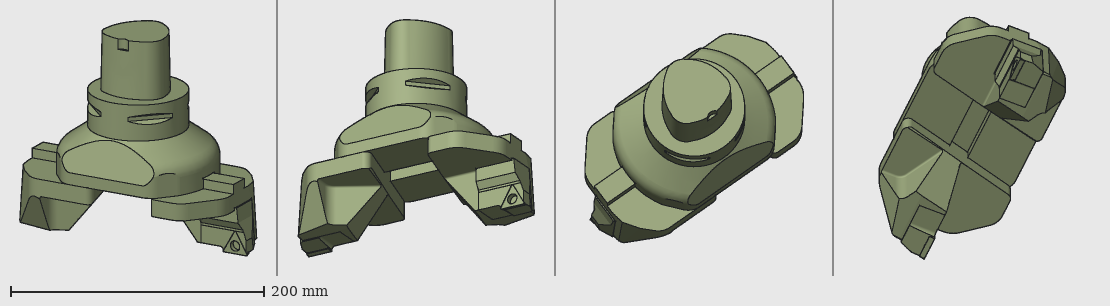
import cadquery as cq
import math


LARGE = 240.0
HALF_LENGTH = 100.0
HALF_WIDTH = 52.0

body_radius = 64.5
body_wall_height = 15.0
flange_radius = 40.0
flange_base = 40.0
flange_height = 30.0
flange_top = flange_base + flange_height
cone_angle = 35.0
shoulder_radius = 14.2
corner_flat_distance = 63.8
corner_flat_angle = 40.0
corner_flat_rounding = 15.0
side_flat_height = 10.0
side_flat_lean = 20.0

groove_count = 4
first_groove_angle = 45.0
groove_height = 57.8
groove_floor_distance = 35.5
groove_floor_width = 3.4
groove_side_angle = 30.0

shank_height = 48.0
shank_top = flange_top + shank_height
shank_top_lobe = 28.5
shank_top_joint = 26.5
shank_top_side = 24.4
shank_base_growth = 1.0
lobe_half_angle = 20.2
lobe_spacing = 120.0
lobe_angles = [90.0 + index * lobe_spacing for index in range(3)]
notch_radius = 6.0
notch_axis_distance = 28.0
notch_depth = 8.5

slot_width = 17.4
slot_height = 9.0
tongue_height = 8.0

plate_thickness = 14.2
plate_end = -91.2
front_corner_x = -67.8
back_corner_x = -66.5
back_corner_end_y = 22.0
inner_front_x = -12.4
inner_back_x = -40.2
plate_corner_rounding = 16.0
outer_corner_rounding = 19.0
inner_corner_rounding = 5.2

arm_bottom = -48.0
arm_face_y = 2.0
arm_inner_x = -16.0
step_x = -59.8
pocket_corner_y = -34.4
pocket_end_y = -11.0
pocket_rounding = 9.0
arm_root_rounding = 1.5

inner_slope = ((-27.0, arm_face_y, -plate_thickness), 13.6, -38.7)
skin_beside_cartridge = ((plate_end, -15.0, 0), 188.7, 3.9)
skin_beside_corner = ((-89.5, -26.2, 0), 214.4, 3.1)
corner_relief = ((step_x, -HALF_WIDTH, -16.4), 257.5, -26.0)
skin_foot_bevel = ((-93.4, -22.0, -46.5), 188.7, -45.0)
arm_clearance = ((0, -22.0, arm_bottom), 270.0, -85.7)

cartridge_inner_x = -58.0
cartridge_back_y = -20.0
cartridge_face_y = 5.8
skin_corner_x = front_corner_x - (HALF_WIDTH + cartridge_back_y)
cartridge_top = -12.2
recess_face_y = 6.5
rake_face_y = 2.0
ledge_face_y = 2.2
slope_top = -24.8
slope_bottom = -31.0
ledge_bottom = -33.0
cartridge_top_x = -92.4
shoulder_x = -93.8
nose_x = -99.0
nose_top = -39.5
nose_start_x = -75.4
nose_blend_radius = 2.8
nose_bottom = arm_bottom - nose_blend_radius
cartridge_skin = ((cartridge_top_x, -18.5, cartridge_top), 203.0, 3.6)
nose_clearance = ((0, rake_face_y, nose_bottom), 270.0, -85.2)

inscribed_radius = 6.5
insert_corner_radius = 0.8
insert_thickness = 4.4
insert_face_y = 2.4
insert_hole_diameter = 8.4
insert_relief = 11.0
insert_bottom = -52.0
core_radius = inscribed_radius - insert_corner_radius
core_half_side = math.sqrt(3) * core_radius
insert_center = (
    core_half_side + insert_corner_radius - HALF_LENGTH,
    insert_face_y,
    insert_bottom + inscribed_radius,
)


def outward(azimuth, tilt):
    """Unit vector at an azimuth around Z, raised by the tilt; both in degrees."""
    turn = math.radians(azimuth)
    rise = math.radians(tilt)
    return cq.Vector(math.cos(turn) * math.cos(rise), math.sin(turn) * math.cos(rise), math.sin(rise))


def beyond_plane(point, azimuth, tilt):
    """Block that fills everything on the outer side of a plane."""
    plane = cq.Plane(origin=point, normal=outward(azimuth, tilt))
    return cq.Workplane(plane).rect(LARGE, LARGE).extrude(LARGE)


def round_upright_edge(solid, x, y, z, radius):
    """Round the vertical edge nearest to a point."""
    return solid.edges("|Z").edges(cq.NearestToPointSelector((x, y, z))).fillet(radius)


def polar(radius, angle):
    """Plane point at a radius and an angle in degrees."""
    return (radius * math.cos(math.radians(angle)), radius * math.sin(math.radians(angle)))


def shank_section(workplane, growth):
    """Three lobe arcs joined by three flatter side arcs."""
    lobe = shank_top_lobe + growth
    joint = shank_top_joint + growth
    side = shank_top_side + growth
    section = workplane.moveTo(*polar(joint, lobe_angles[0] - lobe_half_angle))
    for angle in lobe_angles:
        next_joint = angle + lobe_spacing - lobe_half_angle
        section = section.threePointArc(polar(lobe, angle), polar(joint, angle + lobe_half_angle))
        section = section.threePointArc(polar(side, angle + lobe_spacing / 2), polar(joint, next_joint))
    return section.close()


def make_shank():
    base = shank_section(cq.Workplane("XY").workplane(offset=flange_top), shank_base_growth)
    shank = shank_section(base.workplane(offset=shank_height), 0.0).loft(ruled=True)
    notch = (
        cq.Workplane("XY")
        .workplane(offset=shank_top - notch_depth)
        .center(0, -notch_axis_distance)
        .circle(notch_radius)
        .extrude(notch_depth)
    )
    return shank.cut(notch)


def make_turned_body():
    """Wall, rounded shoulder and cone, turned about Z."""
    turn = math.radians(90 - cone_angle)
    cone_end_radius = body_radius - shoulder_radius * (1 - math.cos(turn))
    cone_end_height = body_wall_height + shoulder_radius * math.sin(turn)
    arc_middle = (
        body_radius - shoulder_radius * (1 - math.cos(turn / 2)),
        body_wall_height + shoulder_radius * math.sin(turn / 2),
    )
    return (
        cq.Workplane("XZ")
        .lineTo(body_radius, 0)
        .lineTo(body_radius, body_wall_height)
        .threePointArc(arc_middle, (cone_end_radius, cone_end_height))
        .lineTo(flange_radius, flange_base)
        .lineTo(0, flange_base)
        .close()
        .revolve(360, (0, 0, 0), (0, 1, 0))
    )


def make_body_outline():
    """Prism of the round wall, the side flats and the corner flats, with rounded edges."""
    turn = math.radians(corner_flat_angle)
    corner_x = (corner_flat_distance - HALF_WIDTH * math.sin(turn)) / math.cos(turn)
    apex_x = corner_flat_distance / math.cos(turn)
    corners = [
        (corner_x, HALF_WIDTH),
        (apex_x, 0),
        (corner_x, -HALF_WIDTH),
        (-corner_x, -HALF_WIDTH),
        (-apex_x, 0),
        (-corner_x, HALF_WIDTH),
    ]
    middle = flange_base / 2
    prism = cq.Workplane("XY").polyline(corners).close().extrude(flange_base)
    for x in (corner_x, -corner_x):
        for y in (HALF_WIDTH, -HALF_WIDTH):
            prism = round_upright_edge(prism, x, y, middle, corner_flat_rounding)
    wall = cq.Workplane("XY").circle(body_radius).extrude(flange_base).rotate((0, 0, 0), (0, 0, 1), 90)
    prism = prism.intersect(wall)
    wall_turn = turn - math.acos(corner_flat_distance / body_radius)
    wall_x = body_radius * math.cos(wall_turn)
    wall_y = body_radius * math.sin(wall_turn)
    for x in (wall_x, -wall_x):
        for y in (wall_y, -wall_y):
            prism = round_upright_edge(prism, x, y, middle, corner_flat_rounding)
    return prism


def make_groove():
    """Groove with a flat floor and flared sides, cut straight across the +X side."""
    depth = flange_radius - groove_floor_distance
    flare = depth * math.tan(math.radians(groove_side_angle))
    half_floor = groove_floor_width / 2
    return (
        cq.Workplane("XZ")
        .polyline(
            [
                (groove_floor_distance, groove_height - half_floor),
                (flange_radius, groove_height - half_floor - flare),
                (flange_radius, groove_height + half_floor + flare),
                (groove_floor_distance, groove_height + half_floor),
            ]
        )
        .close()
        .extrude(LARGE / 2, both=True)
    )


def make_body():
    body = make_turned_body().intersect(make_body_outline())
    for azimuth, y in ((90, HALF_WIDTH), (-90, -HALF_WIDTH)):
        body = body.cut(beyond_plane((0, y, side_flat_height), azimuth, side_flat_lean))
    flange = cq.Workplane("XY").workplane(offset=flange_base).circle(flange_radius).extrude(flange_height)
    groove = make_groove()
    for index in range(groove_count):
        angle = first_groove_angle + index * 360 / groove_count
        flange = flange.cut(groove.rotate((0, 0, 0), (0, 0, 1), angle))
    slot = cq.Workplane("XY").rect(LARGE, slot_width).extrude(slot_height)
    return body.union(flange).union(make_shank()).cut(slot)


def make_plate():
    """Plate with rounded corners and the tongue along its middle."""
    corners = [
        (inner_front_x, -HALF_WIDTH, inner_corner_rounding),
        (front_corner_x, -HALF_WIDTH, plate_corner_rounding),
        (skin_corner_x, cartridge_back_y, 0),
        (plate_end, cartridge_back_y, 0),
        (plate_end, back_corner_end_y, outer_corner_rounding),
        (back_corner_x, HALF_WIDTH, plate_corner_rounding),
        (inner_back_x, HALF_WIDTH, inner_corner_rounding),
    ]
    full_height = plate_thickness + tongue_height
    plate = (
        cq.Workplane("XY")
        .workplane(offset=-plate_thickness)
        .polyline([(x, y) for x, y, _ in corners])
        .close()
        .extrude(full_height)
    )
    for x, y, radius in corners:
        if radius > 0:
            plate = round_upright_edge(plate, x, y, 0, radius)
    shoulders = cq.Workplane("XY").rect(LARGE, LARGE).rect(LARGE, slot_width).extrude(tongue_height)
    return plate.cut(shoulders)


def make_arm():
    """Upright prism under the plate; the trimming planes give it its slopes."""
    arm = (
        cq.Workplane("XY")
        .workplane(offset=arm_bottom)
        .polyline(
            [
                (step_x, -HALF_WIDTH),
                (front_corner_x, -HALF_WIDTH),
                (skin_corner_x, cartridge_back_y),
                (cartridge_inner_x, cartridge_back_y),
                (cartridge_inner_x, arm_face_y),
                (arm_inner_x, arm_face_y),
                (arm_inner_x, pocket_end_y),
                (step_x, pocket_corner_y),
            ]
        )
        .close()
        .extrude(-arm_bottom - plate_thickness)
    )
    middle = (arm_bottom - plate_thickness) / 2
    arm = round_upright_edge(arm, front_corner_x, -HALF_WIDTH, middle, plate_corner_rounding)
    return round_upright_edge(arm, step_x, pocket_corner_y, middle, pocket_rounding)


def make_slide():
    slide = make_plate().union(make_arm())
    root_points = [
        (step_x, -HALF_WIDTH, -plate_thickness),
        ((cartridge_inner_x + arm_inner_x) / 2, arm_face_y, -plate_thickness),
    ]
    for root_point in root_points:
        slide = slide.edges(cq.NearestToPointSelector(root_point)).fillet(arm_root_rounding)
    trim_planes = (
        inner_slope,
        skin_beside_cartridge,
        skin_beside_corner,
        corner_relief,
        skin_foot_bevel,
        arm_clearance,
    )
    for plane in trim_planes:
        slide = slide.cut(beyond_plane(*plane))
    recess = (
        cq.Workplane("XY")
        .workplane(offset=cartridge_top)
        .moveTo(cartridge_inner_x, cartridge_back_y)
        .lineTo(cartridge_inner_x, recess_face_y)
        .lineTo(-LARGE, recess_face_y)
        .lineTo(-LARGE, cartridge_back_y)
        .close()
        .extrude(-LARGE)
    )
    return slide.cut(recess)


def make_insert_blank():
    """Triangular insert without its hole; the sides taper inward behind the rake face."""
    return (
        cq.Workplane("XZ", origin=insert_center)
        .polyline(
            [(-core_half_side, -core_radius), (core_half_side, -core_radius), (0, 2 * core_radius)]
        )
        .close()
        .offset2D(insert_corner_radius)
        .extrude(insert_thickness, taper=insert_relief)
    )


def make_cartridge():
    front_profile = (
        cq.Workplane("YZ")
        .polyline(
            [
                (cartridge_back_y, cartridge_top),
                (cartridge_face_y, cartridge_top),
                (cartridge_face_y, slope_top),
                (ledge_face_y, slope_bottom),
                (ledge_face_y, ledge_bottom),
                (rake_face_y, ledge_bottom),
                (rake_face_y, insert_bottom),
                (cartridge_back_y, insert_bottom),
            ]
        )
        .close()
        .extrude(-LARGE)
    )
    blend_shift = nose_blend_radius * math.sqrt(0.5)
    blend_middle = (nose_start_x - blend_shift, nose_bottom + blend_shift)
    side_profile = (
        cq.Workplane("XZ")
        .moveTo(cartridge_inner_x, cartridge_top)
        .lineTo(cartridge_top_x, cartridge_top)
        .lineTo(shoulder_x, slope_top)
        .lineTo(nose_x, nose_top)
        .lineTo(nose_x, nose_bottom)
        .lineTo(nose_start_x - nose_blend_radius, nose_bottom)
        .threePointArc(blend_middle, (nose_start_x, arm_bottom))
        .lineTo(cartridge_inner_x, arm_bottom)
        .close()
        .extrude(LARGE / 2, both=True)
    )
    cartridge = front_profile.intersect(side_profile)
    for plane in (cartridge_skin, nose_clearance):
        cartridge = cartridge.cut(beyond_plane(*plane))
    return cartridge.cut(make_insert_blank())


def make_insert():
    hole = cq.Workplane("XZ", origin=insert_center).circle(insert_hole_diameter / 2).extrude(insert_thickness)
    return make_insert_blank().cut(hole)


def both_sides(part):
    """The solid on the -X side and its copy turned half a turn about Z."""
    solid = part.solids().val()
    return [solid.rotate(cq.Vector(0, 0, 0), cq.Vector(0, 0, 1), angle) for angle in (0, 180)]


body = make_body().solids().val()
slides = both_sides(make_slide())
cartridges = both_sides(make_cartridge())
inserts = both_sides(make_insert())

result = cq.Compound.makeCompound([body, *slides, *cartridges, *inserts])